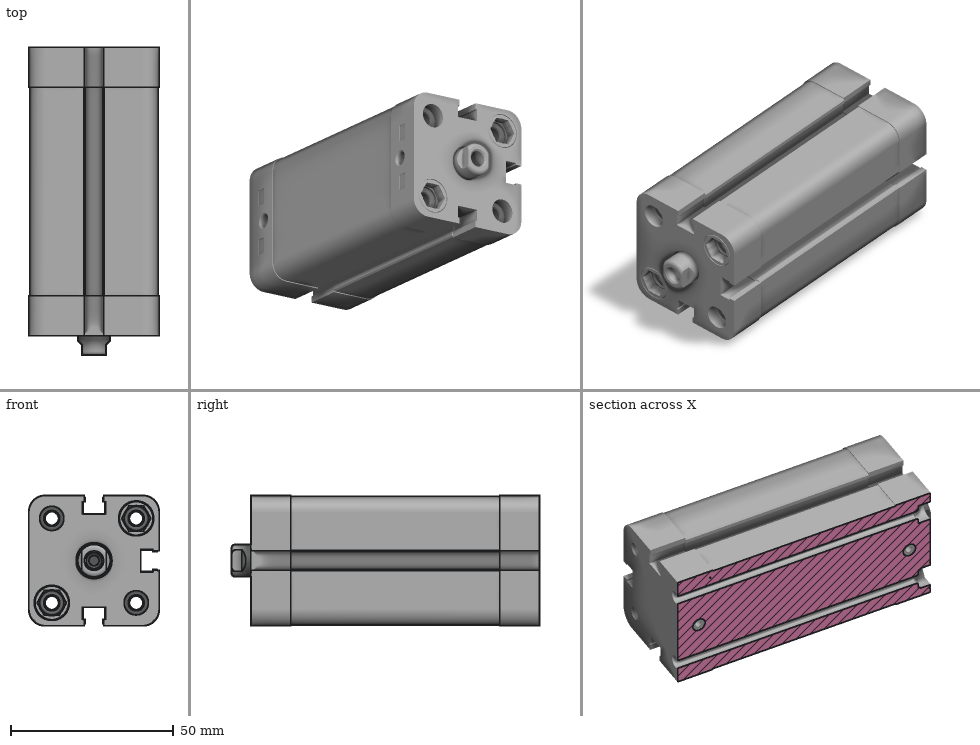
import cadquery as cq
import math


total_length = 95.0
cap_width = 40.3
cap_length = 12.35
rod_reach = 6.0
barrel_inset = 0.3
corner_center = 15.0

half_cap = cap_width / 2
half_barrel = half_cap - barrel_inset
rear_y = total_length - rod_reach
barrel_length = rear_y - 2 * cap_length

slot_depth = 5.7
slot_lip_depth = 2.0
cap_lip_width = 6.0
cap_slot_width = 7.1
barrel_lip_width = 5.4
barrel_slot_width = 6.6
barrel_lip_chamfer = 0.5
slot_overrun = 0.95
slot_angles = (-90, 0, 90)

rod_diameter = 10.0
rod_tip_round = 1.1
flat_width = 7.5
flat_length = 3.2
flat_runout = (rod_diameter - flat_width) / 2
rod_hole_diameter = 4.9
rod_hole_mouth_diameter = 6.0
rod_hole_floor_diameter = 3.1
rod_hole_depth = 12.0
rod_seal_diameter = 10.5
rod_seal_mouth_diameter = 11.1
rod_seal_depth = 2.0

corner_hole_offset = 13.0
thread_diameter = 4.2
thread_mouth_diameter = 4.9
corner_bore_diameter = 7.5
corner_bore_depth = 4.4
screw_head_diameter = 10.8
screw_face_diameter = 10.4
screw_groove_depth = 0.4
hex_across_flats = 7.8
hex_relief_diameter = 8.0
hex_depth = 3.5

port_inset = 7.5
port_diameter = 4.2
port_mouth_diameter = 4.9
port_depth = 6.0
port_passage_diameter = 2.0
port_passage_depth = 8.0
label_inset = 6.3
label_offset = 8.0
label_length = 3.1
label_height = 4.9
label_depth = 0.2


def along_y(x, y, z):
    """Workplane at the given point whose normal is +Y."""
    return cq.Workplane(cq.Plane(origin=(x, y, z), xDir=(1, 0, 0), normal=(0, 1, 0)))


def revolved(profile):
    """Turn a closed (radius, y) profile about the Y axis."""
    return cq.Workplane("XY").polyline(profile).close().revolve(360, (0, 0, 0), (0, 1, 0))


def rounded_block(half_side, start_y, length):
    side = 2 * half_side
    block = along_y(0, start_y, 0).rect(side, side).extrude(length)
    return block.edges("|Y").fillet(half_side - corner_center)


def slot_cutter(half_side, lip_width, slot_width, mouth_chamfer, start_y, length):
    """T-slots opening on the +X, +Z and -Z sides over one stretch of the length."""
    slot_half = slot_width / 2
    lip_half = lip_width / 2
    mouth_half = lip_half + mouth_chamfer
    floor_level = half_side - slot_depth
    lip_level = half_cap - slot_lip_depth
    right_side = [
        (floor_level, slot_half),
        (lip_level, slot_half),
        (lip_level, lip_half),
    ]
    if mouth_chamfer > 0:
        right_side.append((half_side - mouth_chamfer, lip_half))
        right_side.append((half_side, mouth_half))
    right_side.append((half_side + slot_overrun, mouth_half))
    outline = right_side + [(level, -half) for level, half in reversed(right_side)]
    slot = along_y(0, start_y, 0).polyline(outline).close().extrude(length)
    cutter = cq.Workplane("XY")
    for angle in slot_angles:
        cutter = cutter.add(slot.rotate((0, 0, 0), (0, 1, 0), angle))
    return cutter.combine()


def housing_section(half_side, start_y, length, lip_width, slot_width, mouth_chamfer):
    section = rounded_block(half_side, start_y, length)
    return section.cut(slot_cutter(half_side, lip_width, slot_width, mouth_chamfer, start_y, length))


def housing():
    body = housing_section(
        half_barrel, cap_length, barrel_length, barrel_lip_width, barrel_slot_width, barrel_lip_chamfer
    )
    for start_y in (0, rear_y - cap_length):
        cap = housing_section(half_cap, start_y, cap_length, cap_lip_width, cap_slot_width, 0)
        body = body.union(cap)
    return body


def corner_hole():
    """Stepped hole around the Y axis: wide bore, countersunk thread running right through."""
    bore = corner_bore_diameter / 2
    mouth = thread_mouth_diameter / 2
    thread = thread_diameter / 2
    return revolved([
        (0, 0),
        (bore, 0),
        (bore, corner_bore_depth),
        (mouth, corner_bore_depth),
        (thread, corner_bore_depth + mouth - thread),
        (thread, rear_y),
        (0, rear_y),
    ])


def screw_recess():
    """Hexagon socket with flats relieved by a round bore, and the groove round the bevelled screw head."""
    hex_size = hex_across_flats / math.cos(math.pi / 6)
    socket = along_y(0, 0, 0).polygon(6, hex_size).extrude(hex_depth)
    relief = along_y(0, 0, 0).circle(hex_relief_diameter / 2).extrude(hex_depth)
    head = screw_head_diameter / 2
    face = screw_face_diameter / 2
    groove = revolved([(face, 0), (head, 0), (head, screw_groove_depth)])
    return socket.union(relief).union(groove)


def rod_seal_bore():
    """Countersunk ring gap between the front cap and the rod."""
    bore = rod_seal_diameter / 2
    mouth = rod_seal_mouth_diameter / 2
    rod = rod_diameter / 2
    return revolved([
        (rod, 0),
        (mouth, 0),
        (bore, mouth - bore),
        (bore, rod_seal_depth),
        (rod, rod_seal_depth),
    ])


def piston_rod():
    rod = along_y(0, -rod_reach, 0).circle(rod_diameter / 2).extrude(rod_reach + cap_length)
    rod = rod.faces("<Y").edges().fillet(rod_tip_round)
    flat_end = flat_length - rod_reach
    for side in (-1, 1):
        flat_x = side * flat_width / 2
        rim_x = side * rod_diameter / 2
        flat = (
            cq.Workplane("XY")
            .polyline([
                (flat_x, -rod_reach),
                (flat_x, flat_end),
                (rim_x, flat_end + flat_runout),
                (rim_x, -rod_reach),
            ])
            .close()
            .extrude(rod_diameter / 2, both=True)
        )
        rod = rod.cut(flat)
    return rod


def rod_hole():
    bore = rod_hole_diameter / 2
    mouth = rod_hole_mouth_diameter / 2
    floor = rod_hole_floor_diameter / 2
    hole_end = rod_hole_depth - rod_reach
    return revolved([
        (0, -rod_reach),
        (mouth, -rod_reach),
        (bore, mouth - bore - rod_reach),
        (bore, hole_end - (bore - floor)),
        (floor, hole_end),
        (0, hole_end),
    ])


def air_port(center_y):
    """Countersunk port with a narrow passage, entering from the -X side."""
    port = port_diameter / 2
    mouth = port_mouth_diameter / 2
    passage = port_passage_diameter / 2
    profile = [
        (0, 0),
        (mouth, 0),
        (port, mouth - port),
        (port, port_depth),
        (passage, port_depth),
        (passage, port_passage_depth),
        (0, port_passage_depth),
    ]
    upright = revolved(profile)
    return upright.rotate((0, 0, 0), (0, 0, 1), -90).translate((-half_cap, center_y, 0))


def label_recess(center_y, center_z):
    recess = cq.Workplane("XY").box(2 * label_depth, label_length, label_height)
    return recess.translate((-half_cap, center_y, center_z))


result = housing()

for x_side in (-1, 1):
    for z_side in (-1, 1):
        position = (x_side * corner_hole_offset, 0, z_side * corner_hole_offset)
        result = result.cut(corner_hole().translate(position))
        if x_side == z_side:
            result = result.cut(screw_recess().translate(position))

result = result.cut(rod_seal_bore()).union(piston_rod()).cut(rod_hole())

for port_y in (port_inset, rear_y - port_inset):
    result = result.cut(air_port(port_y))

for label_y in (label_inset, rear_y - label_inset):
    for label_z in (-label_offset, label_offset):
        result = result.cut(label_recess(label_y, label_z))